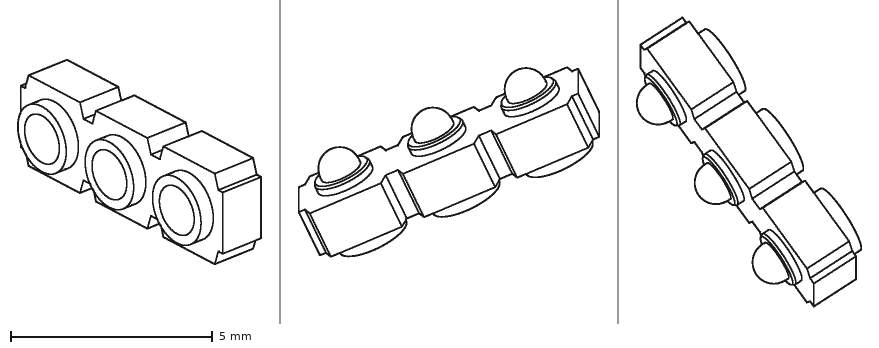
import cadquery as cq

PIN_COUNT = 3
LENGTH = 7.62
PITCH = LENGTH / PIN_COUNT
HEIGHT = PITCH
BLOCK_DEPTH = PITCH / 2

NOTCH_DEPTH = 0.41
NOTCH_FLOOR_WIDTH = 0.335
NOTCH_MOUTH_WIDTH = 0.6

BOSS_DIAMETER = 1.83
BOSS_LENGTH = 0.405
COLLAR_DIAMETER = 1.5
COLLAR_LENGTH = 0.25
COLLAR_CHAMFER_LENGTH = 0.07
COLLAR_CHAMFER_INSET = 0.04

SHANK_DIAMETER = 1.31
TIP_DIAMETER = 1.07
TIP_RADIUS = TIP_DIAMETER / 2

TOTAL_DEPTH = PITCH
BOSS_FACE_Y = -TOTAL_DEPTH / 2
BLOCK_FRONT_Y = BOSS_FACE_Y + BOSS_LENGTH
BLOCK_BACK_Y = BLOCK_FRONT_Y + BLOCK_DEPTH
COLLAR_END_Y = BLOCK_BACK_Y + COLLAR_LENGTH
DOME_END_Y = TOTAL_DEPTH / 2
DOME_CENTRE_Y = DOME_END_Y - TIP_RADIUS

PIN_XS = [(i - (PIN_COUNT - 1) / 2) * PITCH for i in range(PIN_COUNT)]
NOTCH_XS = [i * PITCH - LENGTH / 2 for i in range(PIN_COUNT + 1)]


def cylinder_along_y(x, diameter, start_y, end_y):
    """Cylinder on the pin axis at x, running from start_y to end_y."""
    start_plane = cq.Plane(origin=(x, start_y, 0), xDir=(1, 0, 0), normal=(0, 1, 0))
    return cq.Workplane(start_plane).circle(diameter / 2).extrude(end_y - start_y)


def make_notch(x):
    """Trapezoid cut in the top edge, narrowing down to its flat floor."""
    top_z = HEIGHT / 2
    floor_z = top_z - NOTCH_DEPTH
    notch_plane = cq.Plane(origin=(x, BLOCK_BACK_Y, 0), xDir=(1, 0, 0), normal=(0, -1, 0))
    return (
        cq.Workplane(notch_plane)
        .moveTo(-NOTCH_MOUTH_WIDTH / 2, top_z)
        .lineTo(-NOTCH_FLOOR_WIDTH / 2, floor_z)
        .lineTo(NOTCH_FLOOR_WIDTH / 2, floor_z)
        .lineTo(NOTCH_MOUTH_WIDTH / 2, top_z)
        .close()
        .extrude(BLOCK_DEPTH)
    )


def make_block():
    """Rectangular bar notched along its top and bottom edges."""
    block_centre_y = (BLOCK_FRONT_Y + BLOCK_BACK_Y) / 2
    block = cq.Workplane("XY").box(LENGTH, BLOCK_DEPTH, HEIGHT).translate((0, block_centre_y, 0))
    for x in NOTCH_XS:
        top_notch = make_notch(x)
        block = block.cut(top_notch).cut(top_notch.mirror("XY"))
    return block


def make_collar(x):
    """Collar behind the block, with a steep chamfer on its free rim."""
    collar = cylinder_along_y(x, COLLAR_DIAMETER, BLOCK_BACK_Y, COLLAR_END_Y)
    return collar.faces(">Y").chamfer(COLLAR_CHAMFER_LENGTH, COLLAR_CHAMFER_INSET)


def make_housing():
    """Notched block with a boss, a collar and a stepped bore in each cell."""
    housing = make_block()
    for x in PIN_XS:
        boss = cylinder_along_y(x, BOSS_DIAMETER, BOSS_FACE_Y, BLOCK_FRONT_Y)
        shank_bore = cylinder_along_y(x, SHANK_DIAMETER, BOSS_FACE_Y, BLOCK_BACK_Y)
        tip_bore = cylinder_along_y(x, TIP_DIAMETER, BLOCK_BACK_Y, COLLAR_END_Y)
        housing = housing.union(boss).union(make_collar(x)).cut(shank_bore).cut(tip_bore)
    return housing


def make_pin(x):
    """Stepped round pin; its shoulder stops against the collar."""
    shank = cylinder_along_y(x, SHANK_DIAMETER, BOSS_FACE_Y, BLOCK_BACK_Y)
    tip = cylinder_along_y(x, TIP_DIAMETER, BLOCK_BACK_Y, DOME_CENTRE_Y)
    dome = cq.Workplane("XY").sphere(TIP_RADIUS).translate((x, DOME_CENTRE_Y, 0))
    return shank.union(tip).union(dome)


housing = make_housing()
pins = [make_pin(x) for x in PIN_XS]

result = cq.Compound.makeCompound([housing.solids().val(), *[pin.solids().val() for pin in pins]])